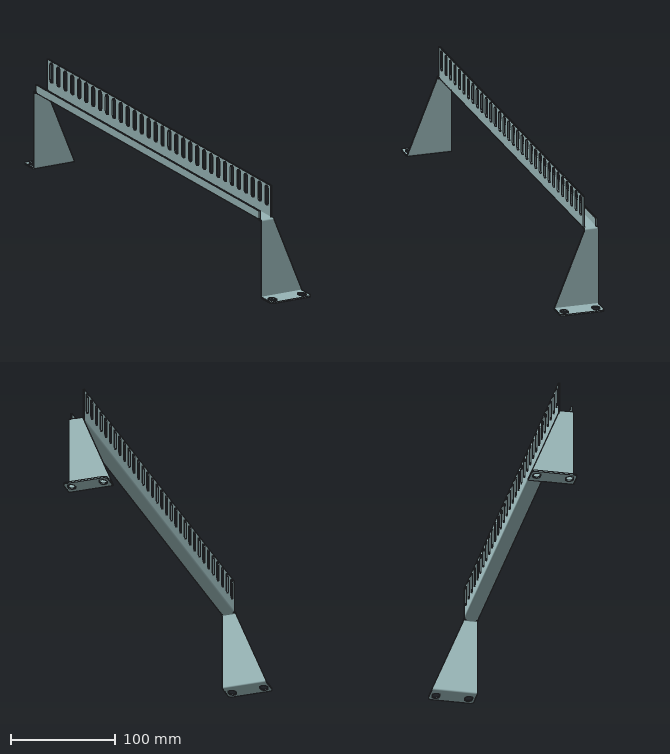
import cadquery as cq

length = 483.0
depth = 44.5
height = 110.0

sheet = 1.5
inner_bend_radius = 0.25
outer_bend_radius = inner_bend_radius + sheet

leg_span = 445.0
channel_length = 435.0
channel_depth = 14.0
shelf_top = 78.5
front_wall_top = 86.5
shelf_bottom = shelf_top - sheet

slot_count = 32
slot_pitch = 13.5
slot_width = 6.5
slot_height = 20.0
slot_top_margin = 2.0

foot_corner_radius = 3.5
hole_spacing_x = 465.5
hole_spacing_y = 32.0
hole_length = 10.0
hole_width = 7.2


def round_bend(body, outer_corner, inner_corner):
    """Round both faces of a sheet bend, given a point on each sharp edge."""
    body = body.edges(cq.NearestToPointSelector(outer_corner)).fillet(outer_bend_radius)
    return body.edges(cq.NearestToPointSelector(inner_corner)).fillet(inner_bend_radius)


def make_channel():
    """Channel with a low front wall, a flat bottom and a tall back wall."""
    back_wall_front = channel_depth - sheet
    channel = (
        cq.Workplane("YZ")
        .polyline([
            (0, shelf_bottom),
            (channel_depth, shelf_bottom),
            (channel_depth, height),
            (back_wall_front, height),
            (back_wall_front, shelf_top),
            (sheet, shelf_top),
            (sheet, front_wall_top),
            (0, front_wall_top),
        ])
        .close()
        .extrude(channel_length / 2, both=True)
    )
    channel = round_bend(channel, (0, 0, shelf_bottom), (0, sheet, shelf_top))
    return round_bend(channel, (0, channel_depth, shelf_bottom), (0, back_wall_front, shelf_top))


def make_slots():
    """Cutters for the upright slots through the back wall."""
    slot_center_z = height - slot_top_margin - slot_height / 2
    return (
        cq.Workplane("XZ", origin=(0, channel_depth, slot_center_z))
        .rarray(slot_pitch, 5, slot_count, 1)
        .slot2D(slot_height, slot_width, 90)
        .extrude(sheet)
    )


def make_left_bracket():
    """Foot, leg and shelf end bent from one strip, tapering towards the top."""
    foot_end = -length / 2
    shelf_end = -channel_length / 2
    leg_outside = -leg_span / 2
    leg_inside = leg_outside + sheet
    strip = (
        cq.Workplane("XZ")
        .polyline([
            (foot_end, 0),
            (leg_inside, 0),
            (leg_inside, shelf_bottom),
            (shelf_end, shelf_bottom),
            (shelf_end, shelf_top),
            (leg_outside, shelf_top),
            (leg_outside, sheet),
            (foot_end, sheet),
        ])
        .close()
        .extrude(-depth)
    )
    middle = depth / 2
    strip = round_bend(strip, (leg_inside, middle, 0), (leg_outside, middle, sheet))
    strip = round_bend(strip, (leg_outside, middle, shelf_top), (leg_inside, middle, shelf_bottom))
    strip = strip.edges("|Z and <X").fillet(foot_corner_radius)

    side_outline = (
        cq.Workplane("YZ", origin=(foot_end, 0, 0))
        .polyline([
            (0, 0),
            (depth, 0),
            (depth, sheet),
            (channel_depth, shelf_bottom),
            (channel_depth, shelf_top),
            (0, shelf_top),
        ])
        .close()
        .extrude(shelf_end - foot_end)
    )
    return strip.intersect(side_outline)


def make_mounting_holes():
    """Cutters for the oblong holes, two in each foot."""
    return (
        cq.Workplane("XY", origin=(0, depth / 2, 0))
        .rarray(hole_spacing_x, hole_spacing_y, 2, 2)
        .slot2D(hole_length, hole_width)
        .extrude(sheet)
    )


left_bracket = make_left_bracket()
right_bracket = left_bracket.mirror("YZ")
body = make_channel().union(left_bracket).union(right_bracket)
result = body.cut(make_slots()).cut(make_mounting_holes())